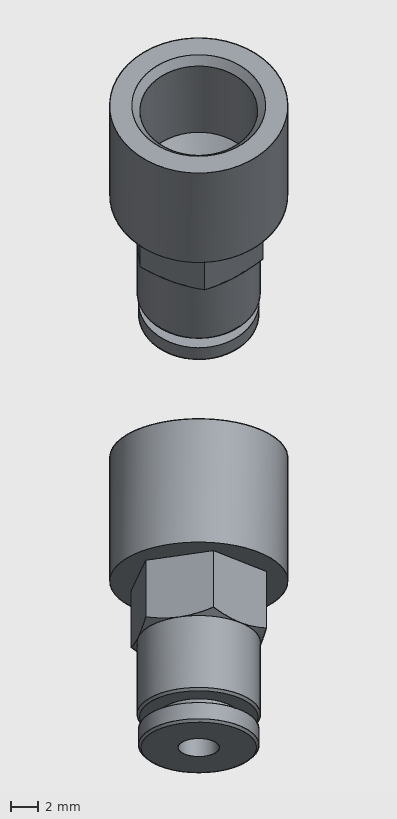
import cadquery as cq
import math

total_height = 23.5
socket_bottom = 13.5
hex_bottom = 8.5
sleeve_bottom = 2.5
collar_top = 1.5

socket_diameter = 13.0
hex_across_flats = 9.0
hex_across_corners = hex_across_flats / math.cos(math.radians(30))
sleeve_diameter = 9.0
neck_diameter = 6.0
collar_diameter = 8.8
edge_chamfer = 0.19
neck_flare = 0.2
hex_chamfer_angle = 30.0

bore_diameter = 8.58
bore_depth = 8.0
mouth_diameter = 9.75
mouth_chamfer = (mouth_diameter - bore_diameter) / 2
passage_diameter = 3.0
drill_point_angle = 120.0


def cylinder(diameter, bottom, top):
    """Upright cylinder on the Z axis between two heights."""
    return cq.Workplane("XY").workplane(offset=bottom).circle(diameter / 2).extrude(top - bottom)


def cone(bottom_diameter, top_diameter, bottom, top):
    """Upright truncated cone on the Z axis between two heights."""
    solid = cq.Solid.makeCone(bottom_diameter / 2, top_diameter / 2, top - bottom, cq.Vector(0, 0, bottom))
    return cq.Workplane(obj=solid)


def hexagon():
    """Wrench hexagon with corners on the Y axis and its lower corners turned off conically."""
    height = socket_bottom - hex_bottom
    prism = (
        cq.Workplane("XY")
        .workplane(offset=hex_bottom)
        .polygon(6, hex_across_corners)
        .extrude(height)
        .rotate((0, 0, 0), (0, 0, 1), 90)
    )
    envelope_top_diameter = hex_across_flats + 2 * height / math.tan(math.radians(hex_chamfer_angle))
    envelope = cone(hex_across_flats, envelope_top_diameter, hex_bottom, socket_bottom)
    return prism.intersect(envelope)


def outer_body():
    """Socket, hexagon, sleeve, neck and release collar."""
    socket = cylinder(socket_diameter, socket_bottom, total_height)
    sleeve = cylinder(sleeve_diameter, sleeve_bottom, hex_bottom).faces("<Z").edges().chamfer(edge_chamfer)
    neck = cylinder(neck_diameter, collar_top, sleeve_bottom)
    flare = cone(neck_diameter + 2 * neck_flare, neck_diameter, collar_top, collar_top + neck_flare)
    collar = cylinder(collar_diameter, 0, collar_top).faces("<Z").edges().chamfer(edge_chamfer)
    return collar.union(neck).union(flare).union(sleeve).union(hexagon()).union(socket)


def inner_cavity():
    """Chamfered bore with a conical floor, leading into the through passage."""
    bore_floor = total_height - bore_depth
    drill_point_height = (bore_diameter - passage_diameter) / 2 / math.tan(math.radians(drill_point_angle / 2))
    mouth = cone(bore_diameter, mouth_diameter, total_height - mouth_chamfer, total_height)
    bore = cylinder(bore_diameter, bore_floor, total_height)
    drill_point = cone(passage_diameter, bore_diameter, bore_floor - drill_point_height, bore_floor)
    passage = cylinder(passage_diameter, 0, bore_floor)
    return passage.union(drill_point).union(bore).union(mouth)


result = outer_body().cut(inner_cavity())